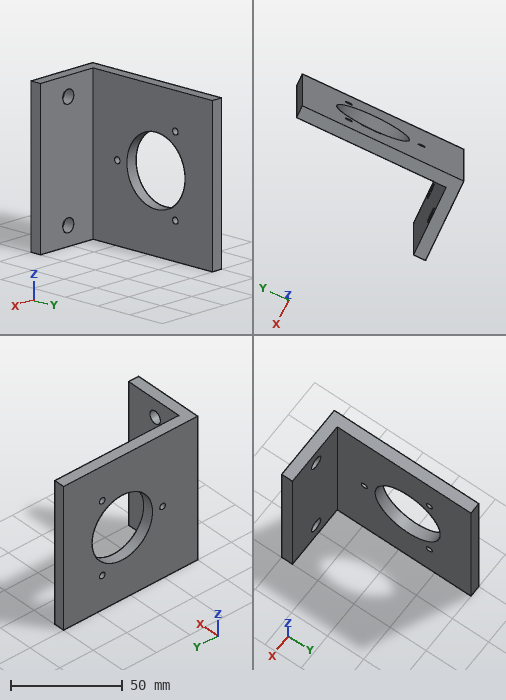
import cadquery as cq

width = 40.0
depth = 80.0
height = 80.0
thickness = 6.0

mount_diameter = 7.0
mount_x = 22.0
mount_edge_distance = 10.0

bore_diameter = 36.0
bore_y = 45.0
screw_diameter = 3.3
screw_circle_radius = 24.0
screw_count = 3


def make_angle():
    """L-shaped profile with its outer corner at the origin, extruded along Z."""
    return (
        cq.Workplane("XY")
        .moveTo(0, 0)
        .lineTo(width, 0)
        .lineTo(width, thickness)
        .lineTo(thickness, thickness)
        .lineTo(thickness, depth)
        .lineTo(0, depth)
        .close()
        .extrude(height)
    )


def make_mount_holes():
    """Cylinders through the short leg, one near each end."""
    centres = [(mount_x, mount_edge_distance), (mount_x, height - mount_edge_distance)]
    return cq.Workplane("XZ").pushPoints(centres).circle(mount_diameter / 2).extrude(-thickness)


def make_bore_and_screw_holes():
    """Cylinders through the long leg: the bore and the screw holes around it."""
    plane = cq.Workplane("YZ", origin=(0, bore_y, height / 2))
    bore = plane.circle(bore_diameter / 2).extrude(thickness)
    screws = (
        plane.polarArray(screw_circle_radius, 180, 360, screw_count)
        .circle(screw_diameter / 2)
        .extrude(thickness)
    )
    return bore.union(screws)


result = make_angle().cut(make_mount_holes()).cut(make_bore_and_screw_holes())